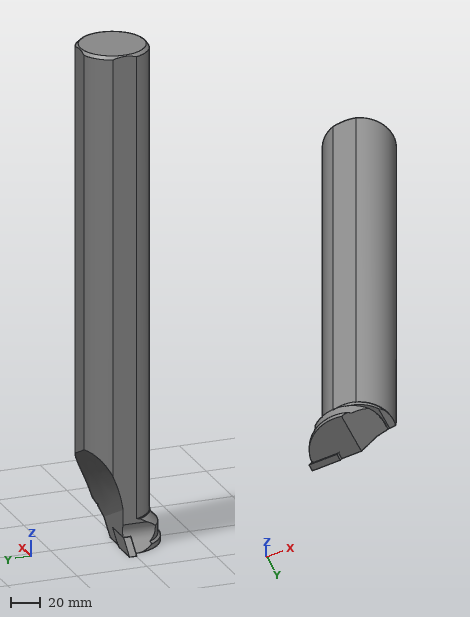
import cadquery as cq
import math

length = 357.0
shank_radius = 25.0
flat_depth = 1.5
flat_distance = shank_radius - flat_depth
shank_bottom = 22.0
end_chamfer = 2.0
margin = 18.0

collar_radius = 25.5
collar_bottom = 19.0

head_x = -4.3
head_y = -2.0
lip_radius = 29.0
neck_radius = 27.0
cone_radius = 21.0
head_bottom = 1.0
lip_top = 4.5
neck_bottom = 6.0
neck_top = 15.0
cone_top = 21.8

end_angle = math.radians(42)
back_bottom_x = 1.0

insert_tip_x = -35.5
insert_length = 20.7
insert_height = 10.0
insert_thickness = 5.5
rake_face_y = 1.0

seat_setback = 1.5
scoop_start_z = 8.0

arc_top_z = 66.5
arc_middle_y = 8.2
arc_middle_z = 42.5
arc_end_z = 18.0
relief_fall = 0.5


def slope_run(rise):
    """Distance in X that an end slope covers over a rise in Z."""
    return rise / math.tan(end_angle)


def make_shank():
    shank_length = length - shank_bottom
    shank = (
        cq.Workplane("XY", origin=(0, 0, shank_bottom))
        .circle(shank_radius)
        .extrude(shank_length)
        .faces(">Z")
        .chamfer(end_chamfer)
    )
    flats = cq.Workplane("XY", origin=(0, 0, shank_bottom)).box(
        flat_distance + shank_radius, 2 * flat_distance, shank_length, centered=(False, True, False)
    ).translate((-flat_distance, 0, 0))
    return shank.intersect(flats)


def make_collar():
    return (
        cq.Workplane("XY", origin=(0, 0, collar_bottom))
        .circle(collar_radius)
        .extrude(shank_bottom - collar_bottom)
    )


def make_head():
    return (
        cq.Workplane("XZ")
        .moveTo(0, head_bottom)
        .lineTo(lip_radius, head_bottom)
        .lineTo(lip_radius, lip_top)
        .lineTo(neck_radius, neck_bottom)
        .lineTo(neck_radius, neck_top)
        .lineTo(cone_radius, cone_top)
        .lineTo(0, cone_top)
        .close()
        .revolve(360, (0, 0, 0), (0, 1, 0))
        .translate((head_x, head_y, 0))
    )


def make_back_slope():
    """Wedge that removes the +X underside of the head and shank."""
    top = shank_radius + margin
    profile = [
        (back_bottom_x, head_bottom),
        (back_bottom_x + slope_run(top), head_bottom + top),
        (back_bottom_x + slope_run(top), head_bottom),
    ]
    return cq.Workplane("XZ").polyline(profile).close().extrude(2 * shank_radius, both=True)


def make_scoop():
    """Seat slope and round groove on the -X side, ending flush with the shank's flat."""
    seat_bottom_x = insert_tip_x + seat_setback
    seat_end_x = seat_bottom_x + slope_run(scoop_start_z)
    outside_x = insert_tip_x - margin
    return (
        cq.Workplane("XZ")
        .moveTo(outside_x, 0)
        .lineTo(seat_bottom_x, 0)
        .lineTo(seat_end_x, scoop_start_z)
        .tangentArcPoint((-flat_distance, collar_bottom), relative=False)
        .lineTo(-flat_distance, shank_bottom)
        .lineTo(outside_x, shank_bottom)
        .close()
        .extrude(2 * shank_radius, both=True)
    )


def make_chip_relief():
    """Relief above the rake face, swept along a line that falls towards +X."""
    reach = 2 * shank_radius
    start_z = relief_fall * reach
    outside_y = flat_distance + margin
    profile = (
        cq.Workplane("YZ", origin=(-reach, 0, start_z))
        .moveTo(outside_y, arc_top_z + margin)
        .lineTo(flat_distance, arc_top_z)
        .threePointArc((arc_middle_y, arc_middle_z), (rake_face_y, arc_end_z))
        .lineTo(rake_face_y, -2 * start_z)
        .lineTo(outside_y, -2 * start_z)
        .close()
    )
    path = cq.Workplane("XZ").moveTo(-reach, start_z).lineTo(reach, -start_z)
    return profile.sweep(path)


def make_insert():
    lean = slope_run(insert_height)
    profile = [
        (insert_tip_x, 0),
        (insert_tip_x + insert_length, 0),
        (insert_tip_x + insert_length + lean, insert_height),
        (insert_tip_x + lean, insert_height),
    ]
    return (
        cq.Workplane("XZ", origin=(0, rake_face_y, 0))
        .polyline(profile)
        .close()
        .extrude(insert_thickness)
    )


insert = make_insert()
bar = (
    make_shank()
    .union(make_collar())
    .union(make_head())
    .cut(make_back_slope())
    .cut(make_scoop())
    .cut(make_chip_relief())
    .cut(insert)
)

result = cq.Compound.makeCompound([bar.val(), insert.val()])